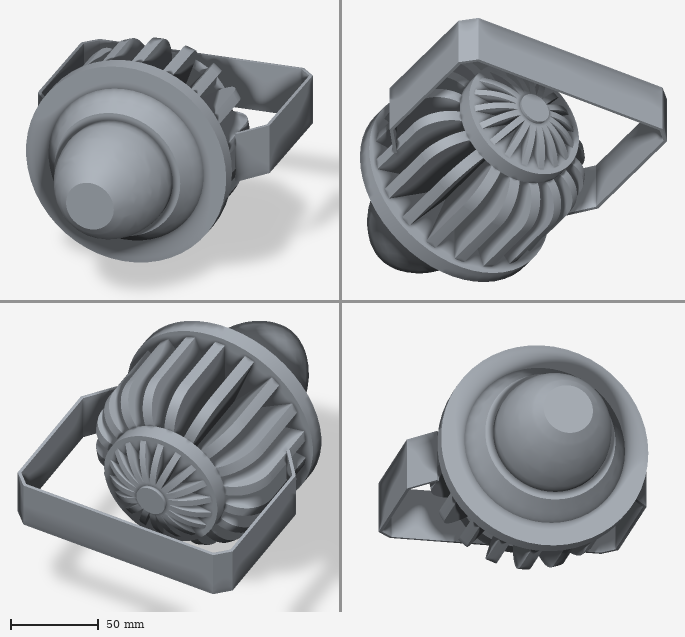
import cadquery as cq
import math


OVERALL_LENGTH = 192.0

FLANGE_RADIUS = 60.5
FLANGE_THICKNESS = 10.0
TAPER_REAR_RADIUS = 46.8
TAPER_FRONT_RADIUS = 38.0
TAPER_LENGTH = 15.0
BULB_RADIUS = 33.5
BULB_LENGTH = 47.0
BULB_TIP_RADIUS = 14.4
BULB_SHOULDER_RADIUS = 27.3
BULB_SHOULDER_OFFSET = 30.3

FIN_COUNT = 18
DRUM_RADIUS = 56.3
DRUM_LENGTH = 60.0
DRUM_ROUNDING = 20.0
DRUM_FIN_WIDTH = 6.3
BAND_RADIUS = 36.9
BAND_LENGTH = 10.0
DOME_BASE_RADIUS = 33.6
DOME_ARC_RADIUS = 32.0
DOME_RIM_HEIGHT = 1.2
DOME_HEIGHT = 10.0
DOME_CURVE_RADIUS = 34.5
DOME_FIN_WIDTH = 3.8
BOSS_RADIUS = 9.2
BOSS_HEIGHT = 2.1

STRAP_WIDTH = 29.8
STRAP_THICKNESS = 2.0
STRAP_SPAN = 140.0
STRAP_CORNER = 8.3
STRAP_CORNER_ANGLE = math.radians(45)
STRAP_LEG_END = 37.5
STRAP_FOOT_RUN = 13.6
STRAP_FOOT_DROP = 17.7

flange_front = -FLANGE_THICKNESS
taper_front = flange_front - TAPER_LENGTH
bulb_tip = taper_front - BULB_LENGTH
band_rear = DRUM_LENGTH + BAND_LENGTH
dome_top = band_rear + DOME_HEIGHT
strap_rear = bulb_tip + OVERALL_LENGTH



def turned(profile):
    """Revolve a half profile, drawn as (radius, Y), about the lamp axis."""
    return profile.close().revolve(360, (0, 0, 0), (0, 1, 0))


def cut_into_fins(envelope, fin_width):
    """Keep only the radial fins of a turned envelope; neighbouring fins meet in a V near the axis."""
    bounds = envelope.val().BoundingBox()
    plate = cq.Workplane("XY").box(fin_width, bounds.ylen, bounds.zlen).translate((0, bounds.center.y, 0))
    star = plate
    for index in range(1, FIN_COUNT // 2):
        angle = index * 360 / FIN_COUNT
        star = star.union(plate.rotate((0, 0, 0), (0, 1, 0), angle))
    return envelope.intersect(star)


def make_head():
    """Flange, taper and bulb, turned as one solid."""
    profile = (
        cq.Workplane("XY")
        .moveTo(0, 0)
        .lineTo(FLANGE_RADIUS, 0)
        .lineTo(FLANGE_RADIUS, flange_front)
        .lineTo(TAPER_REAR_RADIUS, flange_front)
        .lineTo(TAPER_FRONT_RADIUS, taper_front)
        .lineTo(BULB_RADIUS, taper_front)
        .threePointArc((BULB_SHOULDER_RADIUS, taper_front - BULB_SHOULDER_OFFSET), (BULB_TIP_RADIUS, bulb_tip))
        .lineTo(0, bulb_tip)
    )
    return turned(profile)


def make_drum():
    """Large finned drum with a rounded rear edge."""
    profile = (
        cq.Workplane("XY")
        .moveTo(0, 0)
        .lineTo(DRUM_RADIUS, 0)
        .lineTo(DRUM_RADIUS, DRUM_LENGTH - DRUM_ROUNDING)
        .radiusArc((DRUM_RADIUS - DRUM_ROUNDING, DRUM_LENGTH), -DRUM_ROUNDING)
        .lineTo(0, DRUM_LENGTH)
    )
    return cut_into_fins(turned(profile), DRUM_FIN_WIDTH)


def make_band():
    """Plain cylindrical band behind the drum."""
    profile = (
        cq.Workplane("XY")
        .moveTo(0, DRUM_LENGTH)
        .lineTo(BAND_RADIUS, DRUM_LENGTH)
        .lineTo(BAND_RADIUS, band_rear)
        .lineTo(0, band_rear)
    )
    return turned(profile)


def make_dome():
    """Small finned dome behind the band."""
    profile = (
        cq.Workplane("XY")
        .moveTo(0, band_rear)
        .lineTo(DOME_BASE_RADIUS, band_rear)
        .lineTo(DOME_ARC_RADIUS, band_rear + DOME_RIM_HEIGHT)
        .radiusArc((BOSS_RADIUS, dome_top), -DOME_CURVE_RADIUS)
        .lineTo(0, dome_top)
    )
    return cut_into_fins(turned(profile), DOME_FIN_WIDTH)


def make_boss():
    """Round boss that closes the rear of the dome."""
    boss_rear = dome_top + BOSS_HEIGHT
    profile = (
        cq.Workplane("XY")
        .moveTo(0, band_rear)
        .lineTo(BOSS_RADIUS, band_rear)
        .lineTo(BOSS_RADIUS, boss_rear)
        .lineTo(0, boss_rear)
    )
    return turned(profile)


def make_bracket():
    """Flat strap bent into a U, with 45 degree corners and feet that turn in to the drum."""
    half_span = STRAP_SPAN / 2
    foot_x = half_span - STRAP_FOOT_RUN
    foot_y = STRAP_LEG_END - STRAP_FOOT_DROP
    foot_angle = math.atan2(STRAP_FOOT_RUN, STRAP_FOOT_DROP)

    corner_shift = STRAP_THICKNESS * math.tan(STRAP_CORNER_ANGLE / 2)
    foot_shift = STRAP_THICKNESS * math.tan(foot_angle / 2)

    outer = [
        (half_span - STRAP_CORNER, strap_rear),
        (half_span, strap_rear - STRAP_CORNER),
        (half_span, STRAP_LEG_END),
        (foot_x, foot_y),
    ]
    inner = [
        (foot_x - STRAP_THICKNESS * math.cos(foot_angle), foot_y + STRAP_THICKNESS * math.sin(foot_angle)),
        (half_span - STRAP_THICKNESS, STRAP_LEG_END + foot_shift),
        (half_span - STRAP_THICKNESS, strap_rear - STRAP_CORNER - corner_shift),
        (half_span - STRAP_CORNER - corner_shift, strap_rear - STRAP_THICKNESS),
    ]
    right_half = outer + inner
    left_half = [(-x, y) for x, y in reversed(right_half)]
    return cq.Workplane("XY").polyline(right_half + left_half).close().extrude(STRAP_WIDTH / 2, both=True)


bracket = make_bracket()

housing = make_head().union(make_drum()).union(make_band()).union(make_dome()).union(make_boss())
housing = housing.cut(bracket)

result = cq.Compound.makeCompound([housing.val(), bracket.val()])